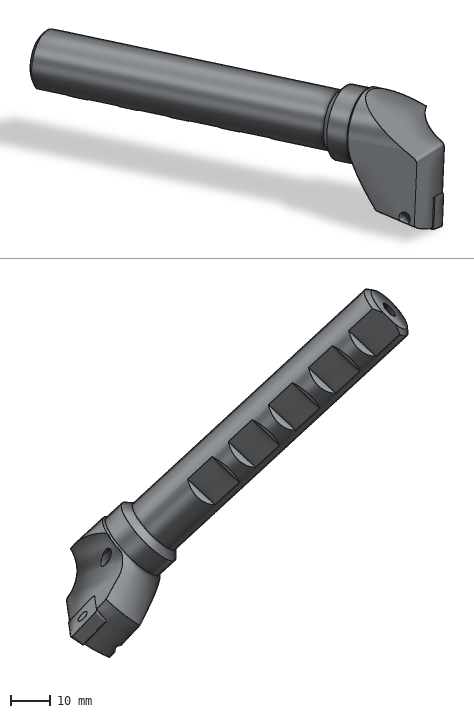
import cadquery as cq
import math

TOTAL_LENGTH = 115

SHANK_DIAMETER = 16.0
SHANK_RADIUS = SHANK_DIAMETER / 2
COLLAR_RADIUS = 10.0
HEAD_DIAMETER = 21.0
HEAD_RADIUS = HEAD_DIAMETER / 2
COLLAR_START = 84.9
HEAD_START = 93.2
REAR_CHAMFER_LENGTH = 1.2
REAR_CHAMFER_DEPTH = 1.4
COLLAR_CONE = COLLAR_RADIUS - SHANK_RADIUS
HEAD_STEP = HEAD_RADIUS - COLLAR_RADIUS

CENTRE_HOLE_RADIUS = 2.2
CENTRE_HOLE_DEPTH = 1.2
DRILL_POINT_DEPTH = 1.3
COOLANT_RADIUS = 1.4
COOLANT_START = (0, 0.2, -0.2)
COOLANT_END = (101.2, 4.4, -5.5)

FLAT_DEPTH = 1.7
FLAT_END = 67.8
LUG_COUNT = 4
FIRST_LUG_CENTRE = 12.6
LUG_PITCH = 14.5
LUG_TIP_LENGTH = 3.3
LUG_RAMP = 1.3

LEAN_ANGLE = 5
BACK_CONE_END = 102.0
BACK_CONE_ANGLE = 49
NOSE_ANGLE = 80
UNDERSIDE_ANGLE = 90 - NOSE_ANGLE
CLEARANCE_ANGLE = 7
TOP_SLOPE = 30
TOP_SLOPE_START = 94.3
TOP_CORNER_RADIUS = 2.0
LOWER_BACK_OFFSET = 6.7
RAKE_OFFSET = 2.1
END_RELIEF = 0.3
END_X = TOTAL_LENGTH - END_RELIEF

GULLET_RADIUS = 10.4
GULLET_SETBACK = 18.6

INSERT_THICKNESS = 4.0
INSERT_SIDE = 9.7
INSERT_CORNER_RADIUS = 0.8
NOSE_DROP = 23.9
SCREW_RADIUS = 1.6
SCREW_LENGTH = 9.0

BIG = 69


def tan(angle):
    return math.tan(math.radians(angle))


def cos(angle):
    return math.cos(math.radians(angle))


def sin(angle):
    return math.sin(math.radians(angle))


def lean(shape):
    """Turn a shape from the upright frame of the head into its leaned position."""
    return shape.rotate((0, 0, 0), (1, 0, 0), -LEAN_ANGLE)


def rake_plane():
    """Sketch plane on the rake face: local x is X, local y is Z, normal is -Y."""
    return cq.Workplane("XZ", origin=(0, RAKE_OFFSET, 0))


def revolved(points):
    """Turn a closed (x, radius) outline about the bar axis."""
    return cq.Workplane("XY").polyline(points).close().revolve(360, (0, 0, 0), (1, 0, 0))


def make_bar():
    """Shank, collar and the step up to the head."""
    return revolved([
        (0, 0),
        (0, SHANK_RADIUS - REAR_CHAMFER_DEPTH),
        (REAR_CHAMFER_LENGTH, SHANK_RADIUS),
        (COLLAR_START, SHANK_RADIUS),
        (COLLAR_START + COLLAR_CONE, COLLAR_RADIUS),
        (HEAD_START - HEAD_STEP, COLLAR_RADIUS),
        (HEAD_START, HEAD_RADIUS),
        (HEAD_START, 0),
    ])


def make_centre_hole():
    """Drilled centre hole in the rear end, with its conical drill point."""
    return revolved([
        (0, 0),
        (0, CENTRE_HOLE_RADIUS),
        (CENTRE_HOLE_DEPTH, CENTRE_HOLE_RADIUS),
        (CENTRE_HOLE_DEPTH + DRILL_POINT_DEPTH, 0),
    ])


def make_coolant_hole():
    """Slanting bore from the rear end to the gullet."""
    start = cq.Vector(*COOLANT_START)
    run = cq.Vector(*COOLANT_END) - start
    return cq.Workplane(cq.Solid.makeCylinder(COOLANT_RADIUS, run.Length, start, run))


def make_flat_cuts():
    """Trapezoid cuts under the shank; the ramps at their ends flank the lugs."""
    flat_z = FLAT_DEPTH - SHANK_RADIUS
    centres = [FIRST_LUG_CENTRE + i * LUG_PITCH for i in range(LUG_COUNT)]
    half_tip = LUG_TIP_LENGTH / 2
    first_start = -2 * LUG_RAMP
    starts = [first_start] + [c + half_tip for c in centres]
    ends = [c - half_tip for c in centres] + [FLAT_END + LUG_RAMP]
    cuts = []
    for start, end in zip(starts, ends):
        outline = [
            (start, -SHANK_RADIUS),
            (start + LUG_RAMP, flat_z),
            (end - LUG_RAMP, flat_z),
            (end, -SHANK_RADIUS),
        ]
        cuts.append(cq.Workplane("XZ").polyline(outline).close().extrude(SHANK_RADIUS, both=True))
    return cuts


def make_head_blank():
    """Round bar of the head, plus the turned underside that hangs below its mid-plane."""
    back_radius = HEAD_RADIUS + (BACK_CONE_END - HEAD_START) * tan(BACK_CONE_ANGLE)
    end_radius = back_radius + (TOTAL_LENGTH - BACK_CONE_END) * tan(UNDERSIDE_ANGLE)
    underside = revolved([
        (HEAD_START, 0),
        (HEAD_START, HEAD_RADIUS),
        (BACK_CONE_END, back_radius),
        (TOTAL_LENGTH, end_radius),
        (TOTAL_LENGTH, 0),
    ])
    length = TOTAL_LENGTH - HEAD_START
    width = HEAD_RADIUS + LOWER_BACK_OFFSET
    lower_space = cq.Workplane("XY").box(length, width, BIG, centered=False)
    lower_space = lean(lower_space.translate((HEAD_START, -HEAD_RADIUS, -BIG)))
    round_part = cq.Workplane("YZ", origin=(HEAD_START, 0, 0)).circle(HEAD_RADIUS).extrude(length)
    return round_part.union(underside.intersect(lower_space))


def make_head_envelope():
    """Space left by the front plane, the sloped top, the rounded top corner and the end face."""
    top_start_z = HEAD_RADIUS + (TOP_SLOPE_START - HEAD_START) * tan(TOP_SLOPE)
    top_end_z = HEAD_RADIUS - (END_X - TOP_SLOPE_START) * tan(TOP_SLOPE)
    front_end_x = END_X - (HEAD_RADIUS + RAKE_OFFSET) * tan(CLEARANCE_ANGLE)
    back_end_x = END_X + (HEAD_RADIUS - RAKE_OFFSET) * tan(CLEARANCE_ANGLE)
    plan = (
        cq.Workplane("XY", origin=(0, 0, -BIG))
        .polyline([
            (HEAD_START, -HEAD_RADIUS),
            (front_end_x, -HEAD_RADIUS),
            (back_end_x, HEAD_RADIUS),
            (HEAD_START, HEAD_RADIUS),
        ])
        .close()
        .extrude(2 * BIG)
    )
    above_top = (
        cq.Workplane("XZ")
        .polyline([
            (HEAD_START - BIG, top_start_z + BIG * tan(TOP_SLOPE)),
            (HEAD_START + BIG, top_start_z - BIG * tan(TOP_SLOPE)),
            (HEAD_START + BIG, 2 * BIG),
            (HEAD_START - BIG, 2 * BIG),
        ])
        .close()
        .extrude(BIG, both=True)
        .rotate((END_X, 0, 0), (END_X, 0, 1), -CLEARANCE_ANGLE)
    )
    top_corner = cq.selectors.NearestToPointSelector((END_X, RAKE_OFFSET, top_end_z))
    return lean(plan).cut(above_top).edges(top_corner).fillet(TOP_CORNER_RADIUS)


def make_gullet():
    """Round-bottomed clearance above the rake face, square to the diagonal of the nose."""
    diagonal = NOSE_ANGLE / 2
    gullet = (
        cq.Workplane("XY")
        .moveTo(0, 0)
        .lineTo(BIG, 0)
        .lineTo(BIG, BIG)
        .lineTo(-GULLET_RADIUS, BIG)
        .lineTo(-GULLET_RADIUS, GULLET_RADIUS)
        .radiusArc((0, 0), -GULLET_RADIUS)
        .close()
        .extrude(BIG, both=True)
    )
    return (
        gullet.translate((-GULLET_SETBACK, 0, 0))
        .rotate((0, 0, 0), (0, 1, 0), 90 - diagonal)
        .translate((TOTAL_LENGTH, RAKE_OFFSET, -NOSE_DROP))
    )


def make_insert_blank():
    """Rhombic plate with rounded corners, whose flanks taper in below the rake face."""
    slant_x = INSERT_SIDE * cos(UNDERSIDE_ANGLE)
    slant_z = INSERT_SIDE * sin(UNDERSIDE_ANGLE)
    outline = (
        cq.Sketch()
        .polygon([
            (TOTAL_LENGTH, -NOSE_DROP),
            (TOTAL_LENGTH, INSERT_SIDE - NOSE_DROP),
            (TOTAL_LENGTH - slant_x, INSERT_SIDE + slant_z - NOSE_DROP),
            (TOTAL_LENGTH - slant_x, slant_z - NOSE_DROP),
            (TOTAL_LENGTH, -NOSE_DROP),
        ])
        .vertices()
        .fillet(INSERT_CORNER_RADIUS)
    )
    return rake_plane().placeSketch(outline).extrude(INSERT_THICKNESS, taper=CLEARANCE_ANGLE)


def make_screw_cylinder(length):
    """Cylinder through the middle of the insert, running in from the rake face."""
    centre_x = TOTAL_LENGTH - INSERT_SIDE * cos(UNDERSIDE_ANGLE) / 2
    centre_z = INSERT_SIDE * (1 + sin(UNDERSIDE_ANGLE)) / 2 - NOSE_DROP
    return rake_plane().center(centre_x, centre_z).circle(SCREW_RADIUS).extrude(length)


def make_holder():
    """Bar and head in one solid, with the insert pocket and the screw hole cut in."""
    head = make_head_blank().intersect(make_head_envelope()).cut(lean(make_gullet()))
    holder = make_bar().union(head)
    holder = holder.cut(make_centre_hole()).cut(make_coolant_hole())
    for flat_cut in make_flat_cuts():
        holder = holder.cut(flat_cut)
    holder = holder.cut(lean(make_insert_blank()))
    return holder.cut(lean(make_screw_cylinder(BIG)))


def make_insert():
    """Cutting insert seated in its pocket, with the screw hole through it."""
    return lean(make_insert_blank().cut(make_screw_cylinder(BIG)))


def make_screw():
    """Screw flush with the rake face, ending inside the holder."""
    return lean(make_screw_cylinder(SCREW_LENGTH))


holder = make_holder()
insert = make_insert()
screw = make_screw()

result = cq.Compound.makeCompound([holder.val(), insert.val(), screw.val()])